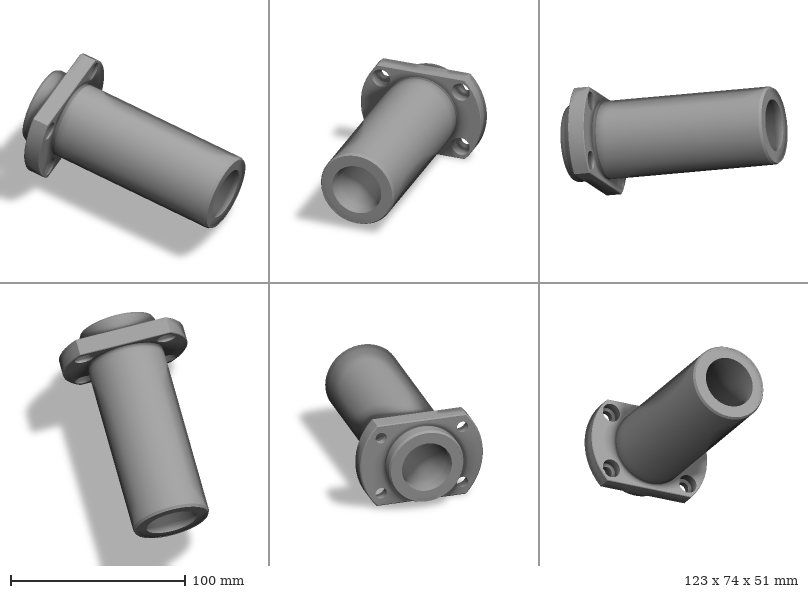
import cadquery as cq
import math

length = 123
body_diameter = 45.0
body_radius = body_diameter / 2
bore_diameter = 30.0

end_chamfer_length = 1.6
end_chamfer_angle = 27
end_face_radius = body_radius - end_chamfer_length * math.tan(math.radians(end_chamfer_angle))

seal_diameter = 41.7
seal_recess_depth = 0.1

flange_start = 9.8
flange_thickness = 10.0
flange_end = flange_start + flange_thickness
flange_diameter = 74.0
flange_height = 51.0
front_chamfer = 0.6
back_chamfer = 0.4

front_groove_start = 7.9
front_groove_center = flange_start
front_groove_depth = 0.5
back_groove_end = 21.9
back_groove_center = (flange_end + back_groove_end) / 2
back_groove_depth = 0.4

hole_diameter = 6.6
counterbore_diameter = 11.0
counterbore_depth = 6.2
hole_spacing_y = 49.0
hole_spacing_z = 35.0


def cylinder(start, end, diameter):
    """Solid cylinder on the X axis between two X positions."""
    return cq.Workplane("YZ").workplane(offset=start).circle(diameter / 2).extrude(end - start)


def sleeve():
    """Solid sleeve with chamfered ends and two arc-shaped relief grooves."""
    front_groove_end = 2 * front_groove_center - front_groove_start
    front_groove_bottom = (front_groove_center, body_radius - front_groove_depth)
    back_groove_bottom = (back_groove_center, body_radius - back_groove_depth)
    profile = (
        cq.Workplane("XY")
        .lineTo(0, end_face_radius)
        .lineTo(end_chamfer_length, body_radius)
        .lineTo(front_groove_start, body_radius)
        .threePointArc(front_groove_bottom, (front_groove_end, body_radius))
        .lineTo(flange_end, body_radius)
        .threePointArc(back_groove_bottom, (back_groove_end, body_radius))
        .lineTo(length - end_chamfer_length, body_radius)
        .lineTo(length, end_face_radius)
        .lineTo(length, 0)
        .close()
    )
    return profile.revolve(360, (0, 0, 0), (1, 0, 0))


def flange():
    """Two-flat flange with chamfered rims."""
    disc = cylinder(flange_start, flange_end, flange_diameter)
    flats = cq.Workplane("XY").box(2 * length, 2 * flange_diameter, flange_height)
    plate = disc.intersect(flats)
    plate = plate.faces("<X").chamfer(front_chamfer)
    return plate.faces(">X").chamfer(back_chamfer)


def hole_set(start, end, diameter):
    """Four cylinders along X, one at each bolt position."""
    return (
        cq.Workplane("YZ")
        .workplane(offset=start)
        .rect(hole_spacing_y, hole_spacing_z, forConstruction=True)
        .vertices()
        .circle(diameter / 2)
        .extrude(end - start)
    )


result = sleeve().union(flange())
result = result.cut(cylinder(0, length, bore_diameter))
result = result.cut(cylinder(0, seal_recess_depth, seal_diameter))
result = result.cut(cylinder(length - seal_recess_depth, length, seal_diameter))
result = result.cut(hole_set(flange_start, flange_end, hole_diameter))
result = result.cut(hole_set(flange_end - counterbore_depth, flange_end, counterbore_diameter))